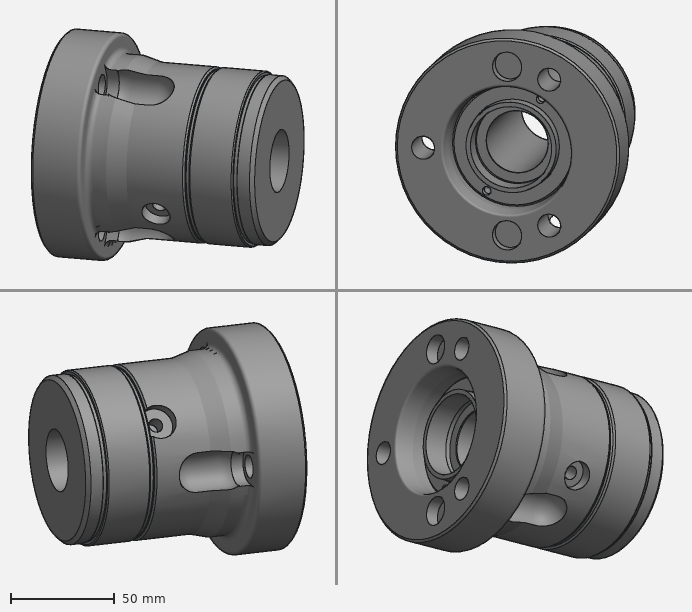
import cadquery as cq
import math


flange_radius = 55.0
flange_length = 25.0
flange_front_chamfer = 1.1
flange_rear_fillet = 1.9
neck_radius = 45.1
neck_fillet = 3.0
neck_end = 35.1
barrel_radius = 42.6
barrel_start = 44.5
joint_x = 73.6
barrel_chamfer = 0.9

bore_radius = 30.1
stem_bore_radius = 28.0
taper_mouth_radius = 31.4
taper_end = 9.5
mouth_fillet = 1.2

pitch_radius = 41.2
bolt_count = 3
bolt_hole_radius = 5.6
head_slot_radius = 8.5
pocket_radius = 10.0
pocket_start = 36.4
pocket_end = 51.4
blind_hole_radius = 7.2
blind_hole_depth = 6.6

port_floor_radius = 36.5
lower_port_x = 57.5
lower_port_angle = 210.0
lower_port_radius = 7.0
lower_port_pilot_radius = 3.3
upper_port_x = 68.3
upper_port_angle = 37.0
upper_port_radius = 8.5
upper_port_pilot_radius = 3.4

overall_length = 108.0
through_radius = 15.2
collar_start = 76.5
collar_chamfer = 0.9
collar_end = 97.9
collar_rear_chamfer = 0.7
groove_radius = 41.6
groove_chamfer = 0.7
relief_radius = 40.6
relief_end = 99.7
tail_radius = 41.0
tail_chamfer = 2.0

ring_front = 15.6
ring_inner_radius = 22.4
ring_chamfer = 0.9
pin_hole_radius = 2.1
pin_hole_depth = 4.4
pin_hole_pitch_radius = 26.5
pin_hole_angle = 120.0
drill_tip_angle = 118.0
sleeve_front = 9.5
sleeve_outer_radius = 22.1
sleeve_inner_radius = 19.9
seat_front = 21.5
seat_floor = 23.9
seat_back = 24.6
ring_back = seat_back

cut_margin = 11.0
diagonal = math.sqrt(0.5)


def on_axis(radius, angle):
    """Y and Z of a point at a radius and angle about X."""
    turn = math.radians(angle)
    return radius * math.cos(turn), radius * math.sin(turn)


def rod(radius, x_start, x_end, y=0.0, z=0.0):
    """Cylinder along X."""
    start = cq.Vector(x_start, y, z)
    return cq.Workplane(cq.Solid.makeCylinder(radius, x_end - x_start, start, cq.Vector(1, 0, 0)))


def spoke(radius, x, inner, outer):
    """Cylinder along Y, between two distances from the axis."""
    start = cq.Vector(x, inner, 0)
    return cq.Workplane(cq.Solid.makeCylinder(radius, outer - inner, start, cq.Vector(0, 1, 0)))


def revolved(profile):
    """Turn a closed profile of (x, radius) points about X."""
    return profile.close().revolve(360, (0, 0, 0), (1, 0, 0))


def housing_blank():
    fillet_x = flange_length + neck_fillet
    fillet_r = neck_radius + neck_fillet
    corner_x = flange_length - flange_rear_fillet
    corner_r = flange_radius - flange_rear_fillet
    mouth_r = taper_mouth_radius + mouth_fillet
    return revolved(
        cq.Workplane("XY")
        .moveTo(0, mouth_r)
        .lineTo(0, flange_radius - flange_front_chamfer)
        .lineTo(flange_front_chamfer, flange_radius)
        .lineTo(corner_x, flange_radius)
        .threePointArc(
            (corner_x + flange_rear_fillet * diagonal, corner_r + flange_rear_fillet * diagonal),
            (flange_length, corner_r),
        )
        .lineTo(flange_length, fillet_r)
        .threePointArc(
            (fillet_x - neck_fillet * diagonal, fillet_r - neck_fillet * diagonal),
            (fillet_x, neck_radius),
        )
        .lineTo(neck_end, neck_radius)
        .lineTo(barrel_start, barrel_radius)
        .lineTo(joint_x - barrel_chamfer, barrel_radius)
        .lineTo(joint_x, barrel_radius - barrel_chamfer)
        .lineTo(joint_x, stem_bore_radius)
        .lineTo(ring_back, stem_bore_radius)
        .lineTo(ring_back, bore_radius)
        .lineTo(taper_end, bore_radius)
        .lineTo(mouth_fillet, taper_mouth_radius)
        .threePointArc(
            (mouth_fillet * (1 - diagonal), mouth_r - mouth_fillet * diagonal),
            (0, mouth_r),
        )
    )


def bolt_cutter(angle):
    """Bolt hole, U-shaped head slot and round-ended pocket at one pitch angle."""
    slot_end = pocket_start - math.sqrt(pocket_radius**2 - head_slot_radius**2)
    end_mid = pocket_radius * diagonal
    slot_edge_angle = math.pi - math.asin(head_slot_radius / pocket_radius)
    arc_angle = (slot_edge_angle + math.pi / 2) / 2
    cutter = revolved(
        cq.Workplane("XY")
        .moveTo(-cut_margin, 0)
        .lineTo(-cut_margin, bolt_hole_radius)
        .lineTo(flange_length, bolt_hole_radius)
        .lineTo(flange_length, head_slot_radius)
        .lineTo(slot_end, head_slot_radius)
        .threePointArc(
            (pocket_start + pocket_radius * math.cos(arc_angle), pocket_radius * math.sin(arc_angle)),
            (pocket_start, pocket_radius),
        )
        .lineTo(pocket_end, pocket_radius)
        .threePointArc((pocket_end + end_mid, end_mid), (pocket_end + pocket_radius, 0))
    )
    slot_opening = cq.Workplane("XY").box(
        slot_end - flange_length, cut_margin, 2 * head_slot_radius, centered=(False, False, True)
    ).translate((flange_length, 0, 0))
    cutter = cutter.union(slot_opening).translate((0, pitch_radius, 0))
    return cutter.rotate((0, 0, 0), (1, 0, 0), angle)


def port_cutter(x, angle, radius, pilot_radius):
    """Radial counterbore with a pilot hole through the housing wall."""
    outer = barrel_radius + cut_margin
    pilot_start = stem_bore_radius - pilot_radius
    cutter = spoke(radius, x, port_floor_radius, outer)
    cutter = cutter.union(spoke(pilot_radius, x, pilot_start, outer))
    return cutter.rotate((0, 0, 0), (1, 0, 0), angle)


def make_housing():
    body = housing_blank()
    for index in range(bolt_count):
        body = body.cut(bolt_cutter(index * 360.0 / bolt_count))
    for z in (-pitch_radius, pitch_radius):
        body = body.cut(rod(blind_hole_radius, 0, blind_hole_depth, 0, z))
    body = body.cut(port_cutter(
        lower_port_x, lower_port_angle, lower_port_radius, lower_port_pilot_radius))
    body = body.cut(port_cutter(
        upper_port_x, upper_port_angle, upper_port_radius, upper_port_pilot_radius))
    return body


def make_end_sleeve():
    """Collar and tail behind the housing, on a stem that fills the housing bore."""
    return revolved(
        cq.Workplane("XY")
        .moveTo(seat_back, through_radius)
        .lineTo(seat_back, stem_bore_radius)
        .lineTo(joint_x, stem_bore_radius)
        .lineTo(joint_x, groove_radius - groove_chamfer)
        .lineTo(joint_x + groove_chamfer, groove_radius)
        .lineTo(collar_start - collar_chamfer, groove_radius)
        .lineTo(collar_start, barrel_radius)
        .lineTo(collar_end - collar_rear_chamfer, barrel_radius)
        .lineTo(collar_end, barrel_radius - collar_rear_chamfer)
        .lineTo(collar_end, relief_radius)
        .lineTo(relief_end, relief_radius)
        .lineTo(relief_end, tail_radius)
        .lineTo(overall_length - tail_chamfer, tail_radius)
        .lineTo(overall_length, tail_radius - tail_chamfer)
        .lineTo(overall_length, through_radius)
    )


def make_locking_ring():
    """Ring in the housing bore with two drilled pin-spanner holes in its face."""
    ring = rod(bore_radius, ring_front, ring_back).faces("<X").chamfer(ring_chamfer)
    ring = ring.cut(rod(ring_inner_radius, ring_front, ring_back))
    hole_end = ring_front + pin_hole_depth
    tip_length = pin_hole_radius / math.tan(math.radians(drill_tip_angle / 2))
    for angle in (pin_hole_angle, pin_hole_angle + 180):
        y, z = on_axis(pin_hole_pitch_radius, angle)
        tip = cq.Solid.makeCone(
            pin_hole_radius, 0, tip_length, cq.Vector(hole_end, y, z), cq.Vector(1, 0, 0))
        ring = ring.cut(rod(pin_hole_radius, ring_front, hole_end, y, z)).cut(cq.Workplane(tip))
    return ring


def make_front_sleeve():
    """Thin sleeve standing forward through the locking ring."""
    sleeve = rod(sleeve_outer_radius, sleeve_front, seat_front)
    return sleeve.cut(rod(sleeve_inner_radius, sleeve_front, seat_front))


def make_seat_ring():
    """Shallow cup between the front sleeve and the end sleeve."""
    seat = rod(sleeve_outer_radius, seat_front, seat_back)
    seat = seat.cut(rod(sleeve_inner_radius, seat_front, seat_floor))
    return seat.cut(rod(through_radius, seat_floor, seat_back))


housing = make_housing()
end_sleeve = make_end_sleeve()
locking_ring = make_locking_ring()
front_sleeve = make_front_sleeve()
seat_ring = make_seat_ring()

result = cq.Compound.makeCompound([
    housing.val(),
    end_sleeve.val(),
    locking_ring.val(),
    front_sleeve.val(),
    seat_ring.val(),
])